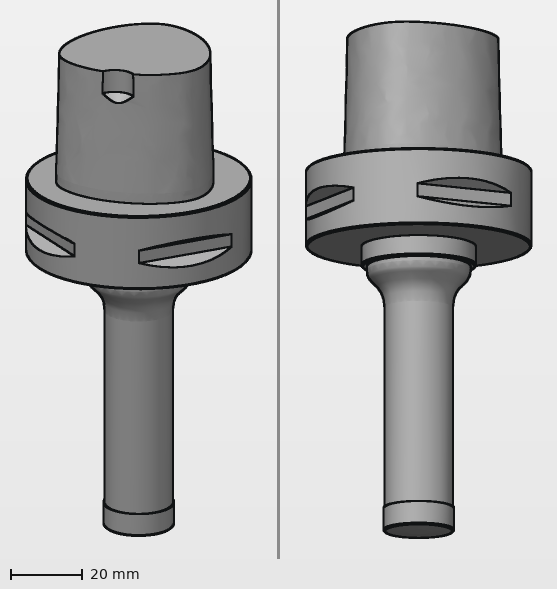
import cadquery as cq
import math


SHANK_HEIGHT = 37.9
SHANK_STRAIGHT_HEIGHT = 3.0
SHANK_BASE_DIAMETER = 44.0
TAPER_RATIO = 1 / 20
LOBE_ECCENTRICITY = 1.4
SHANK_TOP_DIAMETER = SHANK_BASE_DIAMETER - TAPER_RATIO * (SHANK_HEIGHT - SHANK_STRAIGHT_HEIGHT)
OUTLINE_SEGMENTS = 60

KEYWAY_DIAMETER = 11.0
KEYWAY_AXIS_OFFSET = 22.7
KEYWAY_DEPTH = 6.5
KEYWAY_CONE_HEIGHT = 4.7

FLANGE_DIAMETER = 63.0
FLANGE_THICKNESS = 21.7
EDGE_CHAMFER = 0.4
GROOVE_COUNT = 4
GROOVE_START_ANGLE = 45
GROOVE_CENTRE_Z = -12.0
GROOVE_FLOOR_OFFSET = 27.9
GROOVE_FLOOR_HEIGHT = 3.7
GROOVE_MOUTH_HEIGHT = 7.9

COLLAR_DIAMETER = 32.0
COLLAR_BOTTOM_Z = -27.4
NECK_DIAMETER = 29.0
NECK_BOTTOM_Z = -28.6
BAR_DIAMETER = 19.2
BAR_BOTTOM_Z = -96.2
FLARE_BOTTOM_Z = -39.2
FLARE_MIDDLE_DIAMETER = 24.5
FLARE_MIDDLE_Z = -32.5

TOTAL_HEIGHT = 141
TIP_DIAMETER = 19.7
TIP_BOTTOM_Z = SHANK_HEIGHT - TOTAL_HEIGHT
TIP_CORNER_HEIGHT = 0.7
TIP_CORNER_WIDTH = 0.4
TIP_CONE_HEIGHT = 0.3
TIP_END_DIAMETER = 6.5


def lobed_wire(diameter, z):
    """Three-lobed constant-width outline with one lobe on +Y."""

    def point(turn):
        angle = 2 * math.pi * turn
        phase = 3 * (angle - math.pi / 2)
        reach = diameter / 2 + LOBE_ECCENTRICITY * math.cos(phase)
        slope = -3 * LOBE_ECCENTRICITY * math.sin(phase)
        x = reach * math.cos(angle) - slope * math.sin(angle)
        y = reach * math.sin(angle) + slope * math.cos(angle)
        return x, y, z

    points = [cq.Vector(*point(i / OUTLINE_SEGMENTS)) for i in range(OUTLINE_SEGMENTS)]
    return cq.Wire.assembleEdges([cq.Edge.makeSpline(points, periodic=True)])


def make_shank():
    base = lobed_wire(SHANK_BASE_DIAMETER, 0)
    taper_start = lobed_wire(SHANK_BASE_DIAMETER, SHANK_STRAIGHT_HEIGHT)
    top = lobed_wire(SHANK_TOP_DIAMETER, SHANK_HEIGHT)
    straight = cq.Workplane(cq.Solid.extrudeLinear(base, [], cq.Vector(0, 0, SHANK_STRAIGHT_HEIGHT)))
    taper = cq.Workplane(cq.Solid.makeLoft([taper_start, top], True))
    return straight.union(taper).cut(make_keyway())


def make_keyway():
    radius = KEYWAY_DIAMETER / 2
    bottom_z = SHANK_HEIGHT - KEYWAY_DEPTH
    profile = cq.Workplane("XZ").polyline([
        (0, SHANK_HEIGHT),
        (radius, SHANK_HEIGHT),
        (radius, bottom_z),
        (0, bottom_z - KEYWAY_CONE_HEIGHT),
    ]).close()
    return profile.revolve(360, (0, 0), (0, 1)).translate((0, -KEYWAY_AXIS_OFFSET, 0))


def make_groove_cutter():
    """Trapezoidal groove along Y on the +X side of the flange."""
    rim = FLANGE_DIAMETER / 2
    profile = cq.Workplane("XZ").polyline([
        (GROOVE_FLOOR_OFFSET, GROOVE_CENTRE_Z - GROOVE_FLOOR_HEIGHT / 2),
        (rim, GROOVE_CENTRE_Z - GROOVE_MOUTH_HEIGHT / 2),
        (rim, GROOVE_CENTRE_Z + GROOVE_MOUTH_HEIGHT / 2),
        (GROOVE_FLOOR_OFFSET, GROOVE_CENTRE_Z + GROOVE_FLOOR_HEIGHT / 2),
    ]).close()
    return profile.extrude(rim, both=True)


def make_flange():
    flange = cq.Workplane("XY").circle(FLANGE_DIAMETER / 2).extrude(-FLANGE_THICKNESS)
    flange = flange.edges("%CIRCLE").chamfer(EDGE_CHAMFER)
    cutter = make_groove_cutter()
    for i in range(GROOVE_COUNT):
        angle = GROOVE_START_ANGLE + i * 360 / GROOVE_COUNT
        flange = flange.cut(cutter.rotate((0, 0, 0), (0, 0, 1), angle))
    return flange


def make_stem():
    """Collar, neck, flare and bar as one turned profile."""
    collar_radius = COLLAR_DIAMETER / 2
    neck_radius = NECK_DIAMETER / 2
    bar_radius = BAR_DIAMETER / 2

    flare_points = [
        (FLARE_MIDDLE_DIAMETER / 2, FLARE_MIDDLE_Z),
        (bar_radius, FLARE_BOTTOM_Z),
    ]
    profile = (
        cq.Workplane("XZ")
        .moveTo(0, -FLANGE_THICKNESS)
        .lineTo(collar_radius, -FLANGE_THICKNESS)
        .lineTo(collar_radius, COLLAR_BOTTOM_Z + EDGE_CHAMFER)
        .lineTo(collar_radius - EDGE_CHAMFER, COLLAR_BOTTOM_Z)
        .lineTo(neck_radius, COLLAR_BOTTOM_Z)
        .lineTo(neck_radius, NECK_BOTTOM_Z)
        .spline(flare_points, tangents=[(0, -1), (0, -1)], includeCurrent=True)
        .lineTo(bar_radius, BAR_BOTTOM_Z)
        .lineTo(0, BAR_BOTTOM_Z)
        .close()
    )
    return profile.revolve(360, (0, 0), (0, 1))


def make_holder():
    return make_flange().union(make_shank()).union(make_stem())


def make_tip():
    radius = TIP_DIAMETER / 2
    profile = cq.Workplane("XZ").polyline([
        (0, BAR_BOTTOM_Z),
        (radius, BAR_BOTTOM_Z),
        (radius, TIP_BOTTOM_Z + TIP_CORNER_HEIGHT),
        (radius - TIP_CORNER_WIDTH, TIP_BOTTOM_Z + TIP_CONE_HEIGHT),
        (TIP_END_DIAMETER / 2, TIP_BOTTOM_Z),
        (0, TIP_BOTTOM_Z),
    ]).close()
    return profile.revolve(360, (0, 0), (0, 1))


holder = make_holder()
tip = make_tip()
result = cq.Compound.makeCompound([*holder.solids().vals(), tip.val()])